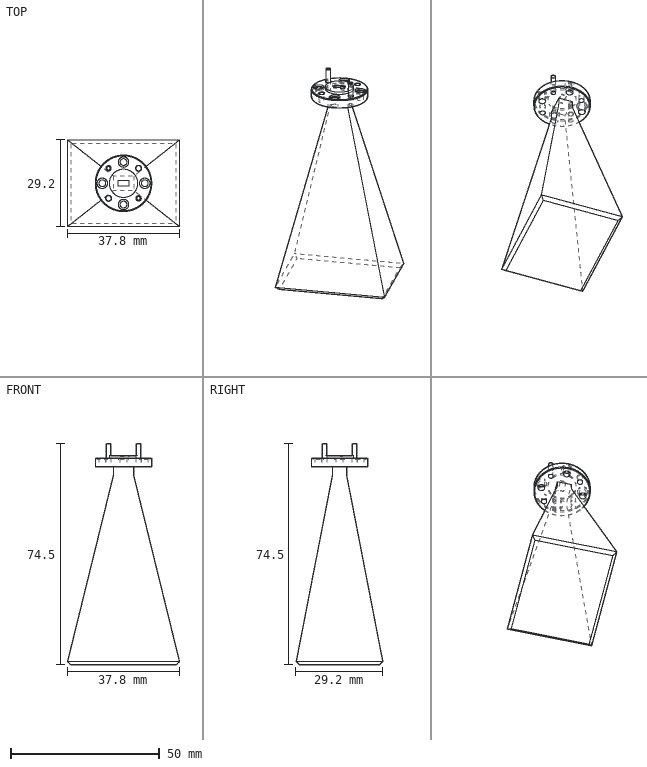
import cadquery as cq
import math

total_height = 74.49

mouth_length = 37.75
mouth_width = 29.2
mouth_bevel = 1.15
neck_length = 6.9
neck_width = 4.88
neck_height = 2.75

flange_diameter = 19.05
flange_thickness = 3.15
flange_chamfer = 0.28
boss_diameter = 9.53
boss_height = 0.8

window_length = 3.76
window_width = 1.88
window_depth = 0.3

bolt_circle_diameter = 14.29
screw_hole_diameter = 2.26
counterbore_diameter = 3.5
counterbore_depth = 0.6
alignment_hole_diameter = 1.78
hole_chamfer = 0.13
pin_diameter = 1.56
pin_projection = 4.8
pin_chamfer = 0.2

screw_angles = [0, 90, 180, 270]
alignment_angles = [45, 225]
pin_angles = [135, 315]

flange_top = total_height - pin_projection
flange_bottom = flange_top - flange_thickness
boss_top = flange_top + boss_height
horn_top = flange_bottom - neck_height
flare_height = horn_top - mouth_bevel


def bolt_circle_points(angles):
    """Points on the bolt circle at the given angles."""
    radius = bolt_circle_diameter / 2
    return [
        (radius * math.cos(math.radians(angle)), radius * math.sin(math.radians(angle)))
        for angle in angles
    ]


def make_horn():
    """Flared horn, its bevelled mouth and the straight neck above it."""
    bevel = (
        cq.Workplane("XY")
        .rect(mouth_length - 2 * mouth_bevel, mouth_width - 2 * mouth_bevel)
        .workplane(offset=mouth_bevel)
        .rect(mouth_length, mouth_width)
        .loft(ruled=True)
    )
    flare = (
        cq.Workplane("XY", origin=(0, 0, mouth_bevel))
        .rect(mouth_length, mouth_width)
        .workplane(offset=flare_height)
        .rect(neck_length, neck_width)
        .loft(ruled=True)
    )
    neck = (
        cq.Workplane("XY", origin=(0, 0, horn_top))
        .rect(neck_length, neck_width)
        .extrude(neck_height)
    )
    return bevel.union(flare).union(neck)


def make_flange():
    """Chamfered disc with its boss, before any holes are cut."""
    disc = (
        cq.Workplane("XY", origin=(0, 0, flange_bottom))
        .circle(flange_diameter / 2)
        .extrude(flange_thickness)
        .edges()
        .chamfer(flange_chamfer)
    )
    boss = (
        cq.Workplane("XY", origin=(0, 0, flange_top))
        .circle(boss_diameter / 2)
        .extrude(boss_height)
    )
    return disc.union(boss)


def make_bores(angles, diameter, top, depth):
    """Round cutters on the bolt circle, reaching down from the given level."""
    return (
        cq.Workplane("XY", origin=(0, 0, top))
        .pushPoints(bolt_circle_points(angles))
        .circle(diameter / 2)
        .extrude(-depth)
    )


def make_chamfered_bores(angles, diameter):
    """Cutters for through holes with a small chamfer at the flange face."""
    mouths = (
        cq.Workplane("XY", origin=(0, 0, flange_top))
        .pushPoints(bolt_circle_points(angles))
        .circle(diameter / 2 + hole_chamfer)
        .extrude(-hole_chamfer, taper=45)
    )
    return make_bores(angles, diameter, flange_top, flange_thickness).union(mouths)


def make_window():
    """Cutter for the shallow waveguide window in the boss."""
    return (
        cq.Workplane("XY", origin=(0, 0, boss_top))
        .rect(window_length, window_width)
        .extrude(-window_depth)
    )


def make_antenna():
    """Horn and flange as one body, with all holes cut."""
    flange = (
        make_flange()
        .cut(make_bores(screw_angles, screw_hole_diameter, flange_top, flange_thickness))
        .cut(make_bores(screw_angles, counterbore_diameter, flange_top, counterbore_depth))
        .cut(make_chamfered_bores(alignment_angles, alignment_hole_diameter))
        .cut(make_chamfered_bores(pin_angles, pin_diameter))
        .cut(make_window())
    )
    return make_horn().union(flange)


def make_pin(x, y):
    """Dowel pin through the flange, flush with its underside, chamfered at the tip."""
    return (
        cq.Workplane("XY", origin=(x, y, flange_bottom))
        .circle(pin_diameter / 2)
        .extrude(flange_thickness + pin_projection)
        .faces(">Z")
        .edges()
        .chamfer(pin_chamfer)
    )


antenna = make_antenna()
pins = [make_pin(x, y) for x, y in bolt_circle_points(pin_angles)]

result = cq.Compound.makeCompound([antenna.val(), *[pin.val() for pin in pins]])